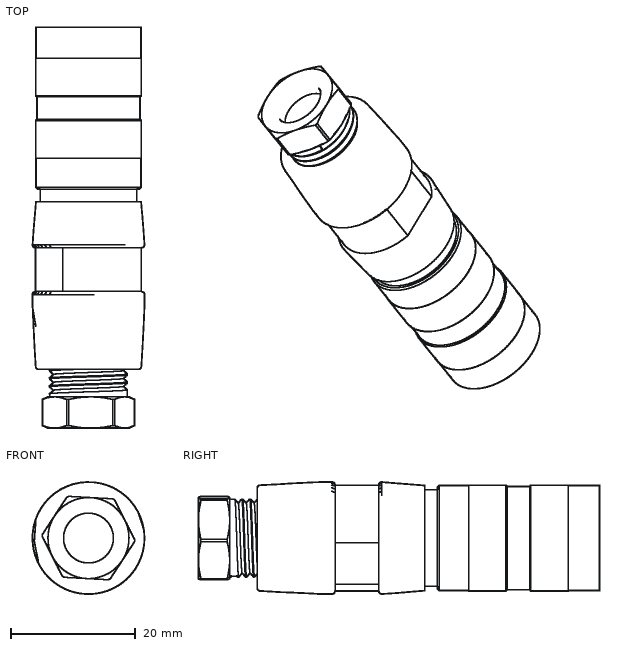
import cadquery as cq
import math


GRIP_START = 5.0
GROOVE_START = 11.0
GROOVE_END = 15.0
GRIP_END = 21.0
REAR_BODY_END = 26.0
COLLAR_START = 28.0
WRENCH_START = 35.4
WRENCH_END = 42.4
SLEEVE_TAPER_START = 44.8
SLEEVE_END = 54.9
NUT_START = 59.3
TOTAL_LENGTH = 64.3

BODY_RADIUS = 16.9 / 2
GRIP_RADIUS = 17.0 / 2
WRENCH_RADIUS = 17.0 / 2
GROOVE_RADIUS = 16.6 / 2
NECK_RADIUS = 15.5 / 2
COLLAR_REAR_RADIUS = 16.9 / 2
RIM_RADIUS = 18.0 / 2
SLEEVE_FRONT_RADIUS = 17.0 / 2

GROOVE_CHAMFER = GRIP_RADIUS - GROOVE_RADIUS
REAR_BODY_CHAMFER = 0.3
RIM_ROUND = RIM_RADIUS - WRENCH_RADIUS
SLEEVE_FRONT_ROUND = 0.5
CROWN = 0.03
ROUND_MID_INSET = 1 - math.sqrt(0.5)

FLAT_DISTANCE = 15.0
FLAT_ANGLE = 147.0
NUT_FLATS = 13.0
NUT_CORNER_RADIUS = 14.8 / 2
NUT_CHAMFER_HEIGHT = 0.4
NUT_ANGLE = -3.2

BORE_RADIUS = 4.0
BORE_DEPTH = 3.2
BORE_MOUTH_ROUND = 0.85

SHANK_RADIUS = 12.5 / 2
SHANK_OVERLAP = 1.0
THREAD_PITCH = 1.27
THREAD_DEPTH = 0.61
THREAD_HALF_WIDTH = 0.58
THREAD_CUT_CLEARANCE = 0.02
THREAD_START = 53.8
THREAD_END = 58.6


def crowned_midpoint(start, end):
    """Point midway between two profile points, lifted outward by the crown."""
    return ((start[0] + end[0]) / 2 + CROWN, (start[1] + end[1]) / 2)


def make_body():
    """Turned body from the rear end to the front of the sleeve."""
    collar_rear = (COLLAR_REAR_RADIUS, COLLAR_START)
    collar_rim = (RIM_RADIUS, WRENCH_START - RIM_ROUND)
    sleeve_rim = (RIM_RADIUS, WRENCH_END + RIM_ROUND)
    taper_rear = (RIM_RADIUS, SLEEVE_TAPER_START)
    taper_front = (SLEEVE_FRONT_RADIUS, SLEEVE_END - SLEEVE_FRONT_ROUND)
    round_inset = RIM_ROUND * ROUND_MID_INSET
    collar_round_mid = (RIM_RADIUS - round_inset, WRENCH_START - round_inset)
    sleeve_round_mid = (RIM_RADIUS - round_inset, WRENCH_END + round_inset)
    front_inset = SLEEVE_FRONT_ROUND * ROUND_MID_INSET
    return (
        cq.Workplane("XZ")
        .moveTo(0, 0)
        .lineTo(BODY_RADIUS, 0)
        .lineTo(BODY_RADIUS, GRIP_START)
        .lineTo(GRIP_RADIUS, GRIP_START)
        .lineTo(GRIP_RADIUS, GROOVE_START)
        .lineTo(GROOVE_RADIUS, GROOVE_START + GROOVE_CHAMFER)
        .lineTo(GROOVE_RADIUS, GROOVE_END - GROOVE_CHAMFER)
        .lineTo(GRIP_RADIUS, GROOVE_END)
        .lineTo(GRIP_RADIUS, GRIP_END)
        .lineTo(BODY_RADIUS, GRIP_END)
        .lineTo(BODY_RADIUS, REAR_BODY_END - REAR_BODY_CHAMFER)
        .lineTo(BODY_RADIUS - REAR_BODY_CHAMFER, REAR_BODY_END)
        .lineTo(NECK_RADIUS, REAR_BODY_END)
        .lineTo(NECK_RADIUS, COLLAR_START)
        .lineTo(*collar_rear)
        .threePointArc(crowned_midpoint(collar_rear, collar_rim), collar_rim)
        .threePointArc(collar_round_mid, (WRENCH_RADIUS, WRENCH_START))
        .lineTo(WRENCH_RADIUS, WRENCH_END)
        .threePointArc(sleeve_round_mid, sleeve_rim)
        .lineTo(*taper_rear)
        .threePointArc(crowned_midpoint(taper_rear, taper_front), taper_front)
        .threePointArc(
            (SLEEVE_FRONT_RADIUS - front_inset, SLEEVE_END - front_inset),
            (SLEEVE_FRONT_RADIUS - SLEEVE_FRONT_ROUND, SLEEVE_END),
        )
        .lineTo(0, SLEEVE_END)
        .close()
        .revolve(360, (0, 0, 0), (0, 1, 0))
    )


def cut_wrench_flats(body):
    """Two opposite flats across the section between collar and sleeve."""
    for angle in (FLAT_ANGLE, FLAT_ANGLE + 180):
        cutter = (
            cq.Workplane("XY")
            .workplane(offset=WRENCH_START)
            .center(FLAT_DISTANCE / 2 + WRENCH_RADIUS, 0)
            .rect(2 * WRENCH_RADIUS, 4 * WRENCH_RADIUS)
            .extrude(WRENCH_END - WRENCH_START)
            .rotate((0, 0, 0), (0, 0, 1), angle)
        )
        body = body.cut(cutter)
    return body


def make_threaded_shank():
    """Shank with a V thread groove cut along a helix; its rear end lies inside the sleeve."""
    shank_start = SLEEVE_END - SHANK_OVERLAP
    shank = (
        cq.Workplane("XY")
        .workplane(offset=shank_start)
        .circle(SHANK_RADIUS)
        .extrude(NUT_START + SHANK_OVERLAP - shank_start)
    )
    helix = cq.Wire.makeHelix(
        THREAD_PITCH, THREAD_END - THREAD_START, SHANK_RADIUS, center=cq.Vector(0, 0, THREAD_START)
    )
    groove = (
        cq.Workplane("XZ")
        .moveTo(SHANK_RADIUS - THREAD_DEPTH, THREAD_START)
        .lineTo(SHANK_RADIUS + THREAD_CUT_CLEARANCE, THREAD_START + THREAD_HALF_WIDTH)
        .lineTo(SHANK_RADIUS + THREAD_CUT_CLEARANCE, THREAD_START - THREAD_HALF_WIDTH)
        .close()
        .sweep(cq.Workplane(helix), isFrenet=True)
    )
    return shank.cut(groove)


def make_nut():
    """Hexagon nut with trimmed corners and both ends chamfered."""
    nut = (
        cq.Workplane("XY")
        .workplane(offset=NUT_START)
        .polygon(6, NUT_FLATS / math.cos(math.pi / 6))
        .extrude(TOTAL_LENGTH - NUT_START)
        .rotate((0, 0, 0), (0, 0, 1), NUT_ANGLE)
    )
    chamfered_envelope = (
        cq.Workplane("XY")
        .workplane(offset=NUT_START)
        .circle(NUT_CORNER_RADIUS)
        .extrude(TOTAL_LENGTH - NUT_START)
        .faces("<Z or >Z")
        .chamfer(NUT_CHAMFER_HEIGHT, NUT_CORNER_RADIUS - NUT_FLATS / 2)
    )
    return nut.intersect(chamfered_envelope)


def cut_cable_entry(part):
    """Blind bore in the nut face with a rounded mouth."""
    bore = (
        cq.Workplane("XY")
        .workplane(offset=TOTAL_LENGTH - BORE_DEPTH)
        .circle(BORE_RADIUS)
        .extrude(BORE_DEPTH)
    )
    part = part.cut(bore)
    mouth = cq.selectors.RadiusNthSelector(0)
    return part.faces(">Z").edges("%CIRCLE").edges(mouth).fillet(BORE_MOUTH_ROUND)


body = cut_wrench_flats(make_body())
connector = body.union(make_threaded_shank()).union(make_nut())
connector = cut_cable_entry(connector)
result = connector.rotate((0, 0, 0), (1, 0, 0), 90)